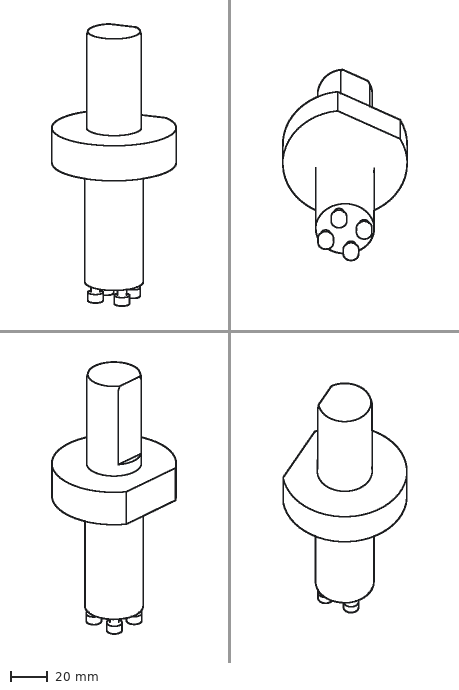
import cadquery as cq
import math

overall_height = 152.59

flange_diameter = 68.0
flange_thickness = 20.0
flange_flat_y = 28.0

shank_diameter = 29.99
shank_length = 55.0
shank_flat_y = 12.0
collar_height = 7.0
lead_in_height = 2.4
lead_in_width = 0.65

body_diameter = 32.0
body_length = 68.0
flare_radius = 4.0

screw_count = 4
screw_circle_diameter = 22.0
screw_start_angle = 45.0
screw_diameter = 5.0
head_diameter = 8.5
head_height = 5.0
head_edge_radius = 0.5
neck_fillet_radius = 0.25

shank_top_z = flange_thickness + shank_length
screw_bottom_z = shank_top_z - overall_height
screw_exposed_length = -body_length - screw_bottom_z


def cut_flat(solid, flat_y, bottom_z, top_z, width):
    """Remove everything beyond flat_y on the +Y side between two heights."""
    cutter = cq.Workplane("XY").box(width, width, top_z - bottom_z, centered=(True, False, False))
    return solid.cut(cutter.translate((0, flat_y, bottom_z)))


def make_flange():
    disc = cq.Workplane("XY").circle(flange_diameter / 2).extrude(flange_thickness)
    return cut_flat(disc, flange_flat_y, 0, flange_thickness, flange_diameter)


def make_shank():
    shank_radius = shank_diameter / 2
    profile = (
        cq.Workplane("XZ")
        .moveTo(0, flange_thickness)
        .lineTo(shank_radius, flange_thickness)
        .lineTo(shank_radius, shank_top_z - lead_in_height)
        .lineTo(shank_radius - lead_in_width, shank_top_z)
        .lineTo(0, shank_top_z)
        .close()
    )
    shank = profile.revolve(360, (0, 0, 0), (0, 1, 0))
    collar_top_z = flange_thickness + collar_height
    return cut_flat(shank, shank_flat_y, collar_top_z, shank_top_z, shank_diameter)


def make_body():
    body_radius = body_diameter / 2
    arc_center = (body_radius + flare_radius, -flare_radius)
    arc_middle = (
        arc_center[0] - flare_radius * math.cos(math.pi / 4),
        arc_center[1] + flare_radius * math.sin(math.pi / 4),
    )
    profile = (
        cq.Workplane("XZ")
        .lineTo(arc_center[0], 0)
        .threePointArc(arc_middle, (body_radius, -flare_radius))
        .lineTo(body_radius, -body_length)
        .lineTo(0, -body_length)
        .close()
    )
    return profile.revolve(360, (0, 0, 0), (0, 1, 0))


def make_screw():
    """One screw on the Z axis, from the underside of its head up to the body."""
    head_radius = head_diameter / 2
    stem_radius = screw_diameter / 2
    profile = (
        cq.Workplane("XZ")
        .lineTo(head_radius - head_edge_radius, 0)
        .radiusArc((head_radius, head_edge_radius), -head_edge_radius)
        .lineTo(head_radius, head_height)
        .lineTo(stem_radius + neck_fillet_radius, head_height)
        .radiusArc((stem_radius, head_height + neck_fillet_radius), neck_fillet_radius)
        .lineTo(stem_radius, screw_exposed_length)
        .lineTo(0, screw_exposed_length)
        .close()
    )
    screw = profile.revolve(360, (0, 0, 0), (0, 1, 0))
    return screw.translate((0, 0, screw_bottom_z))


result = make_flange().union(make_shank()).union(make_body())
for index in range(screw_count):
    angle = math.radians(screw_start_angle + index * 360 / screw_count)
    screw_x = screw_circle_diameter / 2 * math.cos(angle)
    screw_y = screw_circle_diameter / 2 * math.sin(angle)
    result = result.union(make_screw().translate((screw_x, screw_y, 0)))